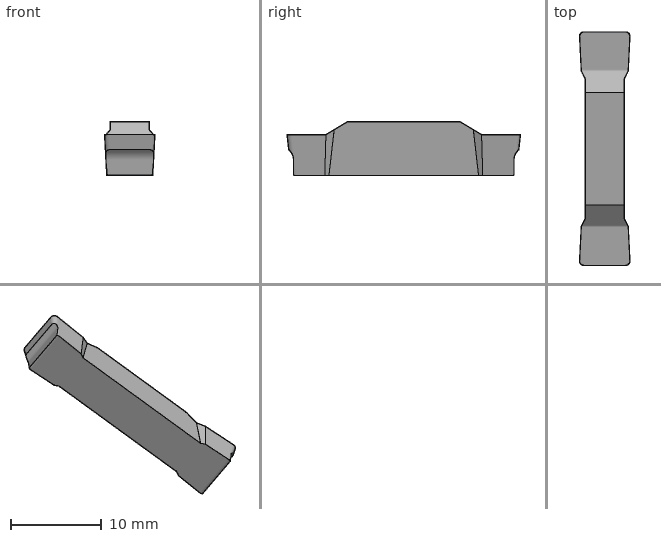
import cadquery as cq
import math

half_length = 12.9
height = 5.95
body_width = 4.3
body_half_width = body_width / 2

head_top_z = 4.55
shoulder_y = 8.6
shoulder_half_width = 2.6
back_taper = math.radians(2.8)
flank_angle = math.radians(28)
corner_radius = 0.5

end_draft = math.radians(6.5)
side_draft = math.radians(2.6)
shoulder_shift = 0.13

ramp_top_y = 6.22
ramp_root_radius = 0.39

relief_top_z = 2.86
heel_y = 12.18
heel_top_z = 1.73


def outline_points(z):
    """Plan outline of the bar and its drafted heads at height z."""
    depth = head_top_z - z
    end_y = half_length - depth * math.tan(end_draft)
    edge_y = shoulder_y + depth * shoulder_shift / head_top_z
    edge_x = shoulder_half_width - depth * math.tan(side_draft)
    neck_y = edge_y - (edge_x - body_half_width) / math.tan(flank_angle)
    end_x = edge_x + (end_y - edge_y) * math.tan(back_taper)
    quarter = [(body_half_width, neck_y), (edge_x, edge_y), (end_x, end_y)]
    upper = quarter + [(-x, y) for x, y in reversed(quarter)]
    return upper + [(-x, -y) for x, y in upper]


def make_plan_body():
    """Drafted body with rounded head corners, up to the full height."""
    body = (
        cq.Workplane("XY")
        .polyline(outline_points(0)).close()
        .workplane(offset=height)
        .polyline(outline_points(height)).close()
        .loft(ruled=True)
    )
    middle_end_y = outline_points(height / 2)[2][1]
    for edge_y in (middle_end_y, -middle_end_y):
        corners = cq.selectors.BoxSelector(
            (-body_width, edge_y - corner_radius, 0),
            (body_width, edge_y + corner_radius, height),
        )
        body = body.edges(corners).fillet(corner_radius)
    return body


def make_side_profile():
    """Side silhouette of the ramps, head tops and undercut ends, extruded along X."""
    relief_y = half_length - (head_top_z - relief_top_z) * math.tan(end_draft)
    half_profile = (
        cq.Workplane("YZ")
        .lineTo(heel_y, 0)
        .lineTo(heel_y, heel_top_z)
        .tangentArcPoint((relief_y, relief_top_z), relative=False)
        .lineTo(half_length, head_top_z)
        .lineTo(shoulder_y, head_top_z)
        .lineTo(ramp_top_y, height)
        .lineTo(0, height)
        .close()
    )
    half = half_profile.extrude(body_width, both=True)
    root = cq.selectors.NearestToPointSelector((0, shoulder_y, head_top_z))
    half = half.edges(root).fillet(ramp_root_radius)
    return half.union(half.mirror("XZ")).clean()


result = make_plan_body().intersect(make_side_profile())